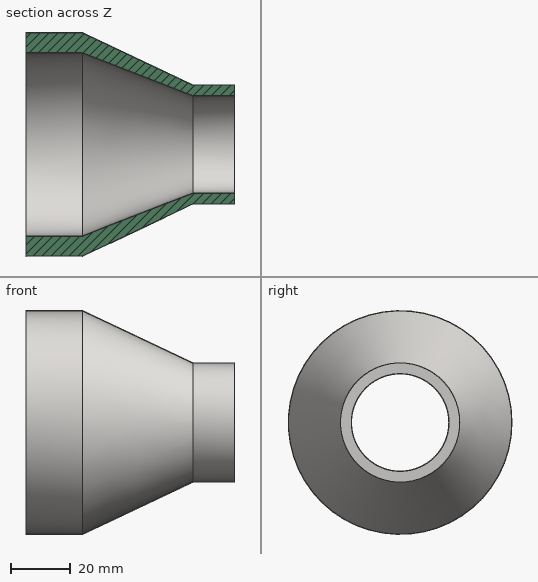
import cadquery as cq

total_length = 70.0
wide_length = 19.0
narrow_length = 14.0
wide_outer_radius = 75 / 2
wide_bore_radius = 61.4 / 2
narrow_outer_radius = 40.0 / 2
narrow_bore_radius = 32.6 / 2

cone_start = wide_length
cone_end = total_length - narrow_length


def revolved_profile(wide_radius, narrow_radius):
    """Solid of revolution about X: wide cylinder, cone, narrow cylinder."""
    return (
        cq.Workplane("XY")
        .moveTo(0, 0)
        .lineTo(0, wide_radius)
        .lineTo(cone_start, wide_radius)
        .lineTo(cone_end, narrow_radius)
        .lineTo(total_length, narrow_radius)
        .lineTo(total_length, 0)
        .close()
        .revolve(360, (0, 0, 0), (1, 0, 0))
    )


body = revolved_profile(wide_outer_radius, narrow_outer_radius)
bore = revolved_profile(wide_bore_radius, narrow_bore_radius)
result = body.cut(bore)